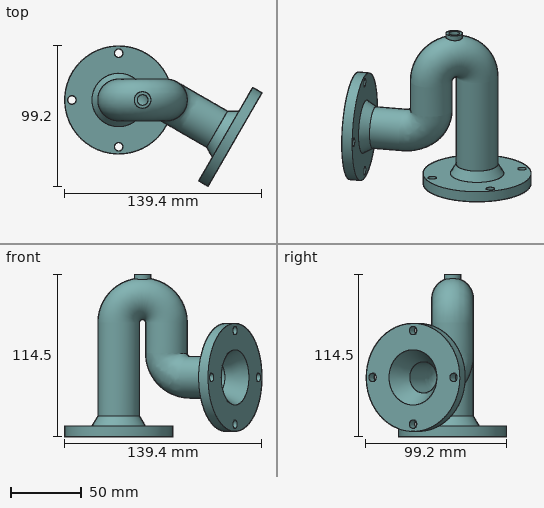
import cadquery as cq
import math

pipe_diameter = 29.5
wall = 3.8
bore_diameter = pipe_diameter - 2 * wall

flange_diameter = 76.4
flange_thickness = 7.7
neck_diameter = 37.8
neck_end = 14.6
mouth_diameter = 39.0
bolt_circle_diameter = 66.0
bolt_hole_diameter = 5.9
bolt_count = 4

leg_spacing = 33.7
bend_radius = leg_spacing / 2
bend_base_height = 80.5
outlet_height = 42.0
outlet_reach = 55.9
outlet_angle = -30.0

elbow_length = 19.8
elbow_start_handle = 9.6
elbow_end_handle = 10.9
elbow_drop = bend_radius
elbow_top_height = outlet_height + elbow_drop
bend_top_height = bend_base_height + bend_radius

overall_height = 114.5
vent_diameter = 11.7
vent_bore_diameter = 7.5

outlet_direction = cq.Vector(math.cos(math.radians(outlet_angle)), math.sin(math.radians(outlet_angle)), 0)


def on_outlet(distance, height):
    """Point in the vertical plane of the outlet, measured out from the second leg."""
    return cq.Vector(leg_spacing, 0, height) + outlet_direction * distance


def pipe_path():
    """Centre line from the base face, over the return bend and elbow, to the outlet face."""
    bend_start = cq.Vector(0, 0, bend_base_height)
    bend_crown = cq.Vector(bend_radius, 0, bend_top_height)
    bend_end = cq.Vector(leg_spacing, 0, bend_base_height)
    elbow_points = [
        on_outlet(0, elbow_top_height),
        on_outlet(0, elbow_top_height - elbow_start_handle),
        on_outlet(elbow_length - elbow_end_handle, outlet_height),
        on_outlet(elbow_length, outlet_height),
    ]
    edges = [
        cq.Edge.makeLine(cq.Vector(0, 0, 0), bend_start),
        cq.Edge.makeThreePointArc(bend_start, bend_crown, bend_end),
        cq.Edge.makeLine(bend_end, elbow_points[0]),
        cq.Edge.makeBezier(elbow_points),
        cq.Edge.makeLine(elbow_points[-1], on_outlet(outlet_reach, outlet_height)),
    ]
    return cq.Wire.assembleEdges(edges)


def rod(diameter):
    """Round solid that follows the pipe centre line."""
    return cq.Workplane("XY").circle(diameter / 2).sweep(cq.Workplane(obj=pipe_path()))


def flange_body(plane):
    """Flange disc and tapered neck, rising from the mating face."""
    disc = cq.Workplane(plane).circle(flange_diameter / 2).extrude(flange_thickness)
    neck = cq.Solid.makeCone(
        neck_diameter / 2,
        pipe_diameter / 2,
        neck_end - flange_thickness,
        plane.origin + plane.zDir * flange_thickness,
        plane.zDir,
    )
    return disc.union(cq.Workplane(obj=neck))


def flange_openings(plane):
    """Tapered mouth and bolt holes, cut from the mating face."""
    mouth = cq.Solid.makeCone(mouth_diameter / 2, bore_diameter / 2, neck_end, plane.origin, plane.zDir)
    bolt_holes = (
        cq.Workplane(plane)
        .polarArray(bolt_circle_diameter / 2, 0, 360, bolt_count)
        .circle(bolt_hole_diameter / 2)
        .extrude(flange_thickness)
    )
    return bolt_holes.add(cq.Workplane(obj=mouth)).combine()


def vent_cylinder(diameter):
    """Upright cylinder from the centre line of the bend to the top of the vent."""
    plane = cq.Workplane("XY", origin=(bend_radius, 0, bend_top_height))
    return plane.circle(diameter / 2).extrude(overall_height - bend_top_height)


base_plane = cq.Plane.XY()
outlet_plane = cq.Plane(
    origin=on_outlet(outlet_reach, outlet_height),
    xDir=(0, 0, 1),
    normal=outlet_direction * -1,
)

body = rod(pipe_diameter).union(vent_cylinder(vent_diameter))
for face_plane in (base_plane, outlet_plane):
    body = body.union(flange_body(face_plane))

body = body.cut(rod(bore_diameter)).cut(vent_cylinder(vent_bore_diameter))
for face_plane in (base_plane, outlet_plane):
    body = body.cut(flange_openings(face_plane))

result = body